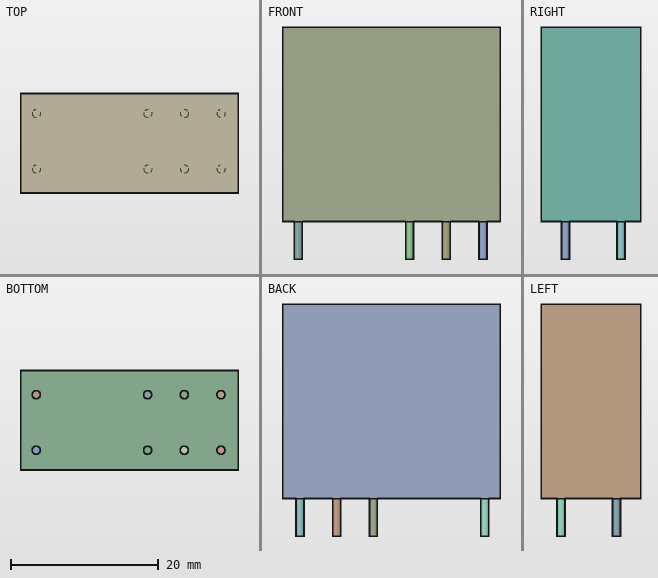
import cadquery as cq

housing_length = 29.5
housing_width = 13.5
overall_height = 31.4
pin_length = 5.1
housing_height = overall_height - pin_length

pin_diameter = 1.1
pin_pitch = 4.95
coil_pin_gap = 15.07
first_pin_x = -12.62
row_spacing = 7.5
front_row_y = -3.45

first_contact_x = first_pin_x + coil_pin_gap
contact_pins_per_row = 3
pin_columns = [first_pin_x] + [first_contact_x + i * pin_pitch for i in range(contact_pins_per_row)]
pin_rows = [front_row_y, front_row_y + row_spacing]


def make_housing():
    """Block standing on the plane Z = 0."""
    return cq.Workplane("XY").box(
        housing_length, housing_width, housing_height, centered=(True, True, False)
    )


def make_pin(x, y):
    """Round pin reaching down from the underside of the housing."""
    return cq.Workplane("XY").center(x, y).circle(pin_diameter / 2).extrude(-pin_length)


housing = make_housing()
pins = [make_pin(x, y) for x in pin_columns for y in pin_rows]

result = cq.Compound.makeCompound([housing.val(), *[pin.val() for pin in pins]])